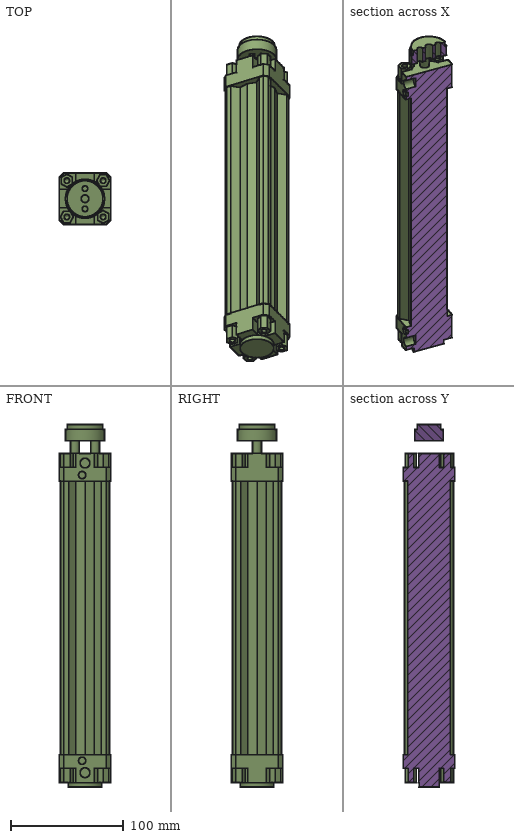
import cadquery as cq
import math

TOTAL_HEIGHT = 324.0
SPIGOT_HEIGHT = 4.2
HEAD_HEIGHT = 25.0
CAP_HEIGHT = 15.0
ROD_LENGTH = 11.0
BODY_TOP = TOTAL_HEIGHT - CAP_HEIGHT - ROD_LENGTH

SIDES = 4
QUARTER_TURN = 360 / SIDES

HEAD_WIDTH = 46.0
HEAD_CHAMFER = 4.0
POCKET_DEPTH = 12.5
BLOCK_WIDTH = 16.5
POCKET_CHAMFER = 5.0
SPIGOT_DIAMETER = 30.0

NUT_OFFSET = 16.2
NUT_SIDES = 6
NUT_ACROSS_FLATS = 10.0
NUT_HOLE_DIAMETER = 5.0
NUT_HOLE_DEPTH = 5.0
DRILL_POINT_ANGLE = 118.0

PORT_DIAMETER = 8.7
PORT_DEPTH = 9.7
PORT_END_DISTANCE = 8.7
SCREW_DIAMETER = 6.5
SCREW_DEPTH = 2.0
SCREW_END_DISTANCE = 19.5
SCREW_X = -2.5

BARREL_WIDTH = 44.0
BARREL_CHAMFER = 3.2
GROOVE_HALF_WIDTH = 14.5
GROOVE_FLOOR_HALF_WIDTH = 8.5
RIDGE_ANGLE = 15.0

ROD_DIAMETER = 8.0
ROD_X = 9.0
CAP_DIAMETER = 35.0
CAP_RIM_DIAMETER = 32.0
CAP_RIM_HEIGHT = 4.5
CENTER_HOLE_DIAMETER = 6.8
SIDE_HOLE_DIAMETER = 5.0
SIDE_HOLE_Y = 9.0


def make_barrel(bottom, top):
    """Square bar with chamfered corners and a ridged 45-degree groove along each side."""
    half = BARREL_WIDTH / 2
    floor_y = half - (GROOVE_HALF_WIDTH - GROOVE_FLOOR_HALF_WIDTH)
    ridge_y = floor_y + GROOVE_FLOOR_HALF_WIDTH * math.tan(math.radians(RIDGE_ANGLE))
    length = top - bottom
    bar = cq.Workplane("XY").workplane(offset=bottom).rect(BARREL_WIDTH, BARREL_WIDTH).extrude(length)
    bar = bar.edges("|Z").chamfer(BARREL_CHAMFER)
    groove = (
        cq.Workplane("XY")
        .workplane(offset=bottom)
        .moveTo(-GROOVE_HALF_WIDTH, half)
        .lineTo(-GROOVE_FLOOR_HALF_WIDTH, floor_y)
        .lineTo(0, ridge_y)
        .lineTo(GROOVE_FLOOR_HALF_WIDTH, floor_y)
        .lineTo(GROOVE_HALF_WIDTH, half)
        .close()
        .extrude(length)
    )
    for quarter in range(SIDES):
        bar = bar.cut(groove.rotate((0, 0, 0), (0, 0, 1), QUARTER_TURN * quarter))
    return bar


def make_pocket():
    """Corner pocket at +X +Y, open to the top and to both sides of the head."""
    inner = BLOCK_WIDTH / 2
    outer = HEAD_WIDTH / 2
    return (
        cq.Workplane("XY")
        .workplane(offset=HEAD_HEIGHT - POCKET_DEPTH)
        .moveTo(inner + POCKET_CHAMFER, inner)
        .lineTo(outer, inner)
        .lineTo(outer, outer)
        .lineTo(inner, outer)
        .lineTo(inner, inner + POCKET_CHAMFER)
        .close()
        .extrude(POCKET_DEPTH)
    )


def make_nut():
    """Hexagonal nut at +X +Y with two corners along X, standing on the pocket floor."""
    across_corners = NUT_ACROSS_FLATS / math.cos(math.pi / NUT_SIDES)
    return (
        cq.Workplane("XY")
        .workplane(offset=HEAD_HEIGHT - POCKET_DEPTH)
        .center(NUT_OFFSET, NUT_OFFSET)
        .polygon(NUT_SIDES, across_corners)
        .extrude(POCKET_DEPTH)
    )


def make_nut_hole():
    """Drilled hole with a conical end in the nut at +X +Y."""
    radius = NUT_HOLE_DIAMETER / 2
    shoulder = HEAD_HEIGHT - NUT_HOLE_DEPTH
    tip = shoulder - radius / math.tan(math.radians(DRILL_POINT_ANGLE / 2))
    return (
        cq.Workplane("XZ")
        .moveTo(0, tip)
        .lineTo(radius, shoulder)
        .lineTo(radius, HEAD_HEIGHT)
        .lineTo(0, HEAD_HEIGHT)
        .close()
        .revolve(360, (0, 0, 0), (0, 1, 0))
        .translate((NUT_OFFSET, NUT_OFFSET, 0))
    )


def make_side_hole(x, end_distance, diameter, depth):
    """Round cutter entering the head from its -Y side."""
    return (
        cq.Workplane("XZ", origin=(x, -HEAD_WIDTH / 2, HEAD_HEIGHT - end_distance))
        .circle(diameter / 2)
        .extrude(-depth)
    )


def make_head():
    """End head with its inner face at Z = 0 and its outer end facing +Z."""
    head = cq.Workplane("XY").rect(HEAD_WIDTH, HEAD_WIDTH).extrude(HEAD_HEIGHT)
    head = head.edges("|Z").chamfer(HEAD_CHAMFER)
    pocket = make_pocket()
    nut = make_nut()
    nut_hole = make_nut_hole()
    for quarter in range(SIDES):
        turn = ((0, 0, 0), (0, 0, 1), QUARTER_TURN * quarter)
        head = head.cut(pocket.rotate(*turn))
        head = head.union(nut.rotate(*turn))
        head = head.cut(nut_hole.rotate(*turn))
    head = head.cut(make_side_hole(0, PORT_END_DISTANCE, PORT_DIAMETER, PORT_DEPTH))
    return head.cut(make_side_hole(SCREW_X, SCREW_END_DISTANCE, SCREW_DIAMETER, SCREW_DEPTH))


def make_cylinder_body():
    """Barrel closed by two mirrored heads, with a round spigot under the lower one."""
    lower_inner_face = SPIGOT_HEIGHT + HEAD_HEIGHT
    upper_inner_face = BODY_TOP - HEAD_HEIGHT
    head = make_head()
    upper_head = head.translate((0, 0, upper_inner_face))
    lower_head = head.mirror("XY").translate((0, 0, lower_inner_face))
    spigot = cq.Workplane("XY").circle(SPIGOT_DIAMETER / 2).extrude(SPIGOT_HEIGHT)
    barrel = make_barrel(lower_inner_face, upper_inner_face)
    return barrel.union(upper_head).union(lower_head).union(spigot)


def make_piston():
    """Stepped round cap carried by two rods that stand on the upper head."""
    cap_bottom = BODY_TOP + ROD_LENGTH
    rods = (
        cq.Workplane("XY")
        .workplane(offset=BODY_TOP)
        .pushPoints([(-ROD_X, 0), (ROD_X, 0)])
        .circle(ROD_DIAMETER / 2)
        .extrude(ROD_LENGTH)
    )
    cap = (
        cq.Workplane("XY")
        .workplane(offset=cap_bottom)
        .circle(CAP_DIAMETER / 2)
        .extrude(CAP_HEIGHT - CAP_RIM_HEIGHT)
        .faces(">Z")
        .workplane()
        .circle(CAP_RIM_DIAMETER / 2)
        .extrude(CAP_RIM_HEIGHT)
    )
    cap = cap.faces(">Z").workplane().hole(CENTER_HOLE_DIAMETER)
    side_hole_places = [(0, -SIDE_HOLE_Y), (0, SIDE_HOLE_Y)]
    cap = cap.faces(">Z").workplane().pushPoints(side_hole_places).hole(SIDE_HOLE_DIAMETER)
    return cap.union(rods)


cylinder_body = make_cylinder_body()
piston = make_piston()

result = cq.Compound.makeCompound([cylinder_body.val(), piston.val()])